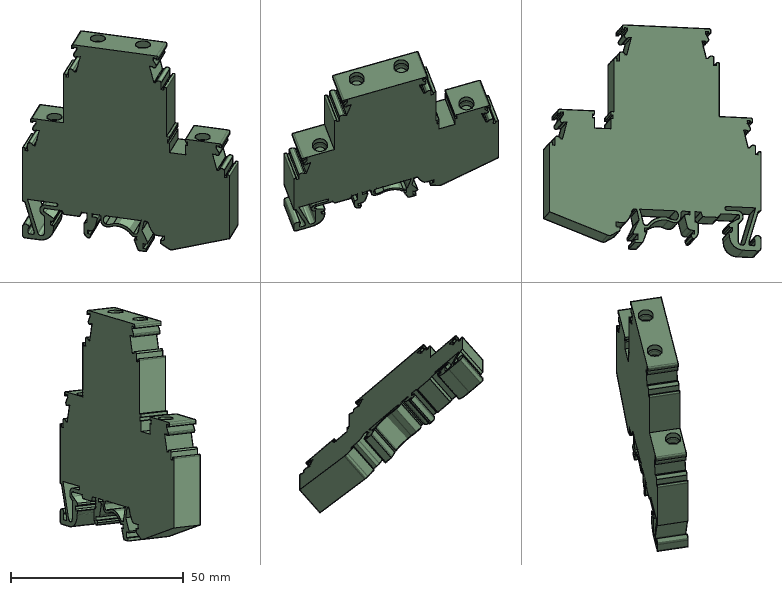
import cadquery as cq


width = 62.5
height = 65.4
thickness = 9.0

half_width = width / 2
lower_top = 39.45
upper_center = -3.35
upper_half_width = 15.55
rail_z = 10.8
foot_bridge_z = 10.5
flank_z = 12.1
right_corner_z = 8.75

foot_left = -half_width
foot_right = -19.4

slot_center = 15.55
slot_width = 4.85
slot_floor = 34.35
groove_width = 6.0
groove_z = 37.9
groove_height = 1.05

screw_head_diameter = 4.3
screw_head_depth = 2.0
screw_bore_diameter = 3.6
screw_bore_depth = 2.0
screw_rim_radius = 0.3
upper_hole_offset = 6.8
upper_hole_y = 1.25
lower_hole_offset = 22.35
lower_hole_y = -1.75


def profile(x, z):
    """Start a side profile at a point in the XZ plane."""
    return cq.Workplane("XZ").moveTo(x, z)


def extruded(outline):
    """Close a side profile and extrude it over the full thickness."""
    return outline.close().extrude(thickness / 2, both=True)


def block(x_center, x_size, z_low, z_high):
    """Full-thickness rectangular block."""
    return cq.Workplane("XY").box(x_size, thickness, z_high - z_low).translate(
        (x_center, 0, (z_low + z_high) / 2)
    )


def body():
    """Both levels, with the pad and the fixed rail jaw on the underside."""
    lower = extruded(
        profile(-half_width, lower_top)
        .lineTo(-half_width, flank_z)
        .lineTo(foot_right, flank_z)
        .lineTo(foot_right, foot_bridge_z)
        .lineTo(-18.7, 9.4)
        .lineTo(-14.0, 9.4)
        .lineTo(-13.5, rail_z)
        .lineTo(6.0, rail_z)
        .threePointArc((6.55, 10.6), (6.8, 10.2))
        .threePointArc((7.5, 8.4), (8.45, 7.0))
        .threePointArc((8.8, 6.75), (9.5, 6.6))
        .lineTo(11.6, 6.6)
        .lineTo(11.6, 5.55)
        .lineTo(11.25, 5.2)
        .lineTo(10.45, 5.2)
        .lineTo(10.45, 4.2)
        .lineTo(12.9, 2.75)
        .threePointArc((13.5, 2.55), (14.05, 2.6))
        .lineTo(half_width, right_corner_z)
        .lineTo(half_width, lower_top)
    )
    upper = block(upper_center, 2 * upper_half_width, rail_z, height)
    return lower.union(upper)


def wire_entry():
    """Cutter for a right-hand corner at the origin: clip lip, slanted wire entry and two ridges.

    Points are (distance inward from the outer face, distance below the top).
    """

    def at(depth, drop):
        return -depth, -drop

    return extruded(
        profile(*at(0, 0))
        .lineTo(*at(2.95, 0))
        .threePointArc(at(2.6, 0.2), at(2.5, 0.6))
        .lineTo(*at(2.5, 1.25))
        .lineTo(*at(3.15, 1.25))
        .lineTo(*at(3.15, 0.85))
        .lineTo(*at(4.05, 0.85))
        .lineTo(*at(4.05, 1.6))
        .lineTo(*at(3.15, 3.0))
        .threePointArc(at(3.2, 3.65), at(3.85, 4.0))
        .lineTo(*at(4.25, 3.7))
        .lineTo(*at(5.1, 3.7))
        .lineTo(*at(3.8, 8.8))
        .lineTo(*at(3.4, 8.8))
        .lineTo(*at(2.9, 8.3))
        .threePointArc(at(2.2, 8.05), at(1.6, 8.5))
        .lineTo(*at(1.6, 10.8))
        .lineTo(*at(0.85, 10.8))
        .lineTo(*at(0.85, 10.3))
        .threePointArc(at(0.45, 9.9), at(0, 10.2))
    )


def jumper_slot():
    """Cutter for the slot beside the upper level, with a groove in both walls."""
    slot = block(slot_center, slot_width, slot_floor, lower_top)
    groove = block(
        slot_center, groove_width, groove_z - groove_height / 2, groove_z + groove_height / 2
    )
    return slot.union(groove)


def rail_foot():
    """Sprung foot on the left, with the pull hook and the rail notch."""
    corner_radius = 0.9
    heel_radius = 4.1
    heel_x = -26.0
    return extruded(
        profile(foot_left, flank_z)
        .lineTo(-30.5, 11.7)
        .lineTo(-27.7, 2.5)
        .lineTo(-27.7, 1.95)
        .threePointArc((-27.85, 1.65), (-28.2, 1.5))
        .lineTo(-29.05, 1.5)
        .threePointArc((-29.35, 1.65), (-29.5, 1.95))
        .lineTo(-29.5, 3.1)
        .lineTo(-29.25, 3.45)
        .threePointArc((-30.15, 4.6), (foot_left, 3.6))
        .lineTo(foot_left, corner_radius)
        .radiusArc((foot_left + corner_radius, 0), -corner_radius)
        .lineTo(heel_x, 0)
        .radiusArc((heel_x + heel_radius, heel_radius), -heel_radius)
        .lineTo(-21.7, 5.2)
        .lineTo(-22.4, 5.2)
        .lineTo(-22.8, 5.7)
        .lineTo(-22.8, 6.6)
        .lineTo(-22.05, 6.6)
        .lineTo(-21.7, 7.0)
        .lineTo(-21.7, 7.6)
        .lineTo(-24.4, 9.2)
        .threePointArc((-24.9, 9.95), (-24.45, foot_bridge_z))
        .lineTo(foot_right, foot_bridge_z)
        .lineTo(foot_right, flank_z)
    )


def foot_window():
    """Cutter for the opening that frees the foot from the body."""
    return extruded(
        profile(-29.7, 12.75)
        .lineTo(-21.1, 12.75)
        .threePointArc((-20.6, 12.2), (-21.1, 11.65))
        .lineTo(-24.45, 11.65)
        .threePointArc((-25.95, 9.95), (-25.5, 8.7))
        .lineTo(-24.6, 7.9)
        .lineTo(-24.6, 2.5)
        .threePointArc((-25.6, 1.5), (-26.55, 2.1))
    )


def middle_claw():
    """Claw under the body between the foot and the latch."""
    return extruded(
        profile(-11.8, rail_z)
        .lineTo(-11.8, 7.9)
        .lineTo(-12.7, 7.3)
        .lineTo(-12.7, 4.5)
        .threePointArc((-12.3, 3.5), (-11.45, 2.8))
        .lineTo(-11.0, 2.8)
        .lineTo(-10.65, 3.6)
        .lineTo(-10.65, 4.2)
        .lineTo(-11.6, 4.2)
        .lineTo(-11.6, 5.2)
        .lineTo(-10.65, 5.2)
        .threePointArc((-9.95, 5.5), (-9.5, 6.0))
        .lineTo(-8.65, 9.35)
        .threePointArc((-8.75, 9.75), (-9.15, 9.9))
        .lineTo(-10.3, 9.9)
        .lineTo(-10.3, rail_z)
    )


def spring_latch():
    """Latch post with the curved spring arm that carries it."""
    outer = extruded(
        profile(-8.0, rail_z)
        .lineTo(-7.6, 10.35)
        .lineTo(-7.6, 9.15)
        .threePointArc((-7.1, 7.85), (-5.8, 7.25))
        .threePointArc((-4.85, 7.4), (-3.85, 7.8))
        .threePointArc((-0.9, 7.6), (1.75, 5.55))
        .lineTo(2.1, 5.2)
        .lineTo(3.2, 5.2)
        .lineTo(3.2, 4.2)
        .lineTo(2.5, 4.2)
        .lineTo(3.5, 1.3)
        .lineTo(3.85, 0.85)
        .lineTo(6.1, 0.85)
        .lineTo(6.1, 1.75)
        .lineTo(5.15, 1.75)
        .lineTo(5.15, 3.35)
        .lineTo(6.4, 3.35)
        .lineTo(6.6, 3.85)
        .lineTo(4.85, 7.6)
        .lineTo(5.4, 10.45)
        .lineTo(5.75, rail_z)
    )
    window = extruded(
        profile(-5.95, rail_z)
        .threePointArc((-6.8, 9.35), (-6.15, 8.1))
        .threePointArc((-5.0, 8.2), (-3.7, 8.7))
        .threePointArc((-0.45, 8.4), (2.2, 6.15))
        .lineTo(3.2, 6.15)
        .lineTo(3.5, 6.7)
        .lineTo(4.6, rail_z)
    )
    return outer.cut(window)


def screw_hole(x, y, top_z):
    """Cutter for a stepped blind hole with a rounded rim around the inner bore."""
    ledge_z = top_z - screw_head_depth
    bore_radius = screw_bore_diameter / 2
    rim_outer = bore_radius + screw_rim_radius
    return (
        cq.Workplane("XZ")
        .moveTo(0, top_z)
        .lineTo(screw_head_diameter / 2, top_z)
        .lineTo(screw_head_diameter / 2, ledge_z)
        .lineTo(rim_outer, ledge_z)
        .radiusArc((bore_radius, ledge_z - screw_rim_radius), -screw_rim_radius)
        .lineTo(bore_radius, ledge_z - screw_bore_depth)
        .lineTo(0, ledge_z - screw_bore_depth)
        .close()
        .revolve(360, (0, 0, 0), (0, 1, 0))
        .translate((x, y, 0))
    )


result = (
    body()
    .union(rail_foot())
    .union(middle_claw())
    .union(spring_latch())
    .cut(foot_window())
    .cut(jumper_slot())
)

levels = (
    (upper_center, upper_half_width, height, upper_hole_offset, upper_hole_y),
    (0, half_width, lower_top, lower_hole_offset, lower_hole_y),
)
right_entry = wire_entry()
left_entry = right_entry.mirror("YZ")
for center, half_span, top, hole_offset, hole_y in levels:
    for side, entry in ((-1, left_entry), (1, right_entry)):
        result = result.cut(entry.translate((center + side * half_span, 0, top)))
        result = result.cut(screw_hole(center + side * hole_offset, hole_y, top))